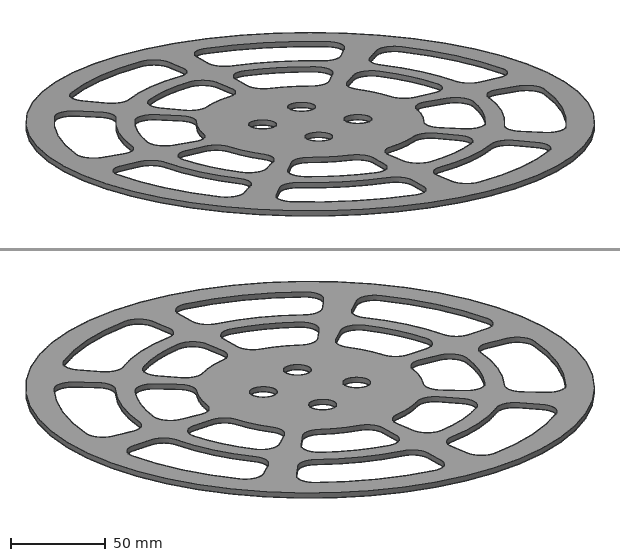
import cadquery as cq
import math

disc_diameter = 300.0
thickness = 3.0
pattern_angle = 78.1

window_count = 8
window_span = 37.0
corner_radius = 10.0
ring_radii = [
    (60.0, 92.5),
    (102.5, 135.0),
]

hole_count = 4
hole_diameter = 14.7
hole_circle_radius = 25.5
hole_angle = pattern_angle + 180.0 / hole_count


def polar(radius, angle):
    """Point at the given radius and angle (degrees) from the disc centre."""
    return (radius * math.cos(math.radians(angle)), radius * math.sin(math.radians(angle)))


def window(inside_radius, outside_radius, middle_angle):
    """Annular sector with rounded corners, centred on middle_angle."""
    start_angle = middle_angle - window_span / 2
    end_angle = middle_angle + window_span / 2
    return (
        cq.Workplane("XY")
        .moveTo(*polar(inside_radius, start_angle))
        .lineTo(*polar(outside_radius, start_angle))
        .threePointArc(polar(outside_radius, middle_angle), polar(outside_radius, end_angle))
        .lineTo(*polar(inside_radius, end_angle))
        .threePointArc(polar(inside_radius, middle_angle), polar(inside_radius, start_angle))
        .close()
        .extrude(thickness)
        .edges("|Z")
        .fillet(corner_radius)
    )


result = cq.Workplane("XY").circle(disc_diameter / 2).extrude(thickness)

for inside_radius, outside_radius in ring_radii:
    for index in range(window_count):
        middle_angle = pattern_angle + index * 360.0 / window_count
        result = result.cut(window(inside_radius, outside_radius, middle_angle))

holes = (
    cq.Workplane("XY")
    .polarArray(hole_circle_radius, hole_angle, 360, hole_count)
    .circle(hole_diameter / 2)
    .extrude(thickness)
)
result = result.cut(holes)